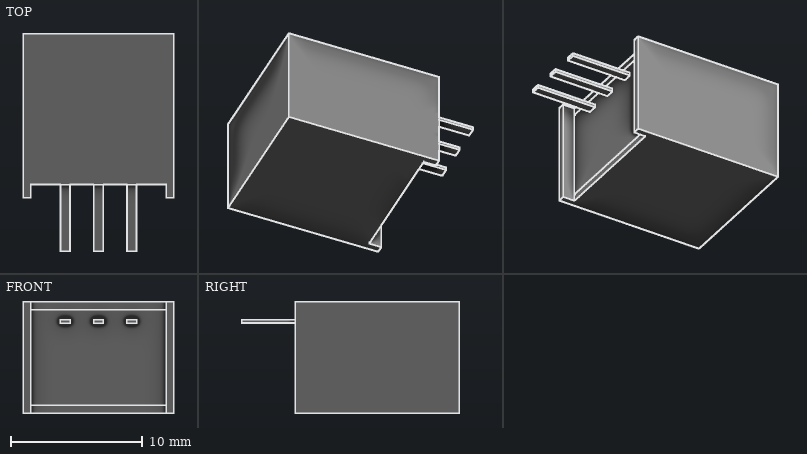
import cadquery as cq

housing_width = 11.5
housing_height = 8.5
housing_depth = 11.5
wall = 0.6
side_wall_overhang = 1.01

overall_length = 16.6
pin_count = 3
pin_width = 0.75
pin_thickness = 0.27
pin_pitch = 2.54
pin_drop = 1.5

cavity_width = housing_width - 2 * wall
cavity_height = housing_height - 2 * wall
cavity_depth = housing_depth - wall
pin_length = overall_length - housing_depth
pin_height = housing_height - pin_drop


def box_between_y(width, height, y_front, y_back, z_bottom):
    """Box centred on X = 0, from y_front to y_back, standing on z_bottom."""
    return (
        cq.Workplane("XY")
        .box(width, y_back - y_front, height, centered=(True, False, False))
        .translate((0, y_front, z_bottom))
    )


def make_housing():
    shell = box_between_y(housing_width, housing_height, -side_wall_overhang, housing_depth, 0)
    cavity = box_between_y(cavity_width, cavity_height, 0, cavity_depth, wall)
    front_gap = box_between_y(cavity_width, housing_height, -side_wall_overhang, 0, 0)
    return shell.cut(cavity).cut(front_gap)


def make_filling():
    """Block that fills the cavity flush with the opening."""
    return box_between_y(cavity_width, cavity_height, 0, cavity_depth, wall)


def make_pin(x_centre):
    """Flat lead that stands on the front face of the filling."""
    pin = box_between_y(pin_width, pin_thickness, -pin_length, 0, pin_height - pin_thickness / 2)
    return pin.translate((x_centre, 0, 0))


housing = make_housing()
filling = make_filling()

pins = []
for index in range(pin_count):
    x_centre = (index - (pin_count - 1) / 2) * pin_pitch
    pins.append(make_pin(x_centre).val())

result = cq.Compound.makeCompound([housing.val(), filling.val(), *pins])